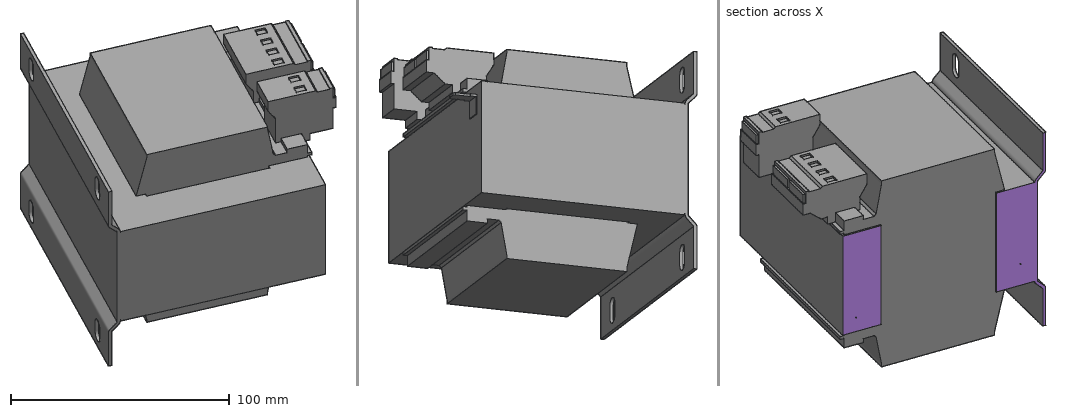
import cadquery as cq
import math


core_width = 120.0
core_height = 53.4
core_front = 6.0
core_back = 105.5
window_half_width = 40.2
window_front = 25.7
window_back = 85.5

coil_half_width = 38.6
coil_top = 50.0
coil_edge_height = 1.7
coil_top_front = 26.3
coil_top_back = 85.0
coil_foot_front = 21.1
coil_foot_back = 87.8
shelf_height = 32.0
shelf_corner = 1.1
rail_front = 94.5
rail_back = 104.4
rail_top = 34.1
lip_back = 106.5
lip_bottom = 27.4
lip_top = 29.0

plate_thickness = 1.7
plate_half_height = 51.9
plate_offset = core_front - plate_thickness
flange_bend_z = 31.0
strip_angle = 45
flange_bend_radius = 2.1
web_bend_radius = 3.6
slot_width = 6.1
slot_length = 12.1
slot_x = 45.0
slot_z = 42.3

terminal_width = 15.2
terminal_pair_x = (-22.7, -7.5)
terminal_single_x = 22.7
terminal_top = 50.2
single_raise = 7.4
terminal_front = 88.2
terminal_back = 121.3
terminal_body_back = 119.8
terminal_foot_front = 91.8
terminal_foot_back = 108.6
terminal_foot_bottom = 29.1
terminal_bottom = 32.9
front_slope_start_drop = 5.7
front_slope_end_drop = 11.3
ledge_front = 111.2
ledge_drop = 1.0
ridge_front = 118.1
ridge_drop = 0.5
lip_start_drop = 6.7
lip_end_drop = 12.6
rear_slope_top_y = 117.5
rear_slope_bottom_y = 112.1
latch_back = 120.9
latch_start_drop = 2.1
latch_inset = 0.7
pocket_width = 3.6
pocket_length = 4.9
pocket_depth = 1.0
pocket_y = 105.2
pocket_offset = 3.8

tab_x = -49.9
tab_width = 6.5
tab_base_width = 8.1
tab_base_back = 108.7
tab_back = 116.6
tab_top = 22.0
tab_thickness = 1.1
tab_corner = 1.0
tab_leg_bottom = 12.5
tab_leg_thickness = 0.5


def box(x_min, x_max, y_min, y_max, z_min, z_max):
    size = (x_max - x_min, y_max - y_min, z_max - z_min)
    return cq.Workplane("XY").box(*size, centered=False).translate((x_min, y_min, z_min))


def extrude_along_x(yz_points, width, x_center=0.0):
    profile = cq.Workplane("YZ", origin=(x_center, 0, 0)).polyline(yz_points).close()
    return profile.extrude(width / 2, both=True)


def make_core():
    half_width = core_width / 2
    half_height = core_height / 2
    core = box(-half_width, half_width, core_front, core_back, -half_height, half_height)
    for x_min, x_max in (
        (-window_half_width, -coil_half_width),
        (coil_half_width, window_half_width),
    ):
        gap = box(x_min, x_max, window_front, window_back, -half_height, half_height)
        core = core.cut(gap)
    return core


def make_coil_half():
    core_top = core_height / 2
    edge_bottom = coil_top - coil_edge_height
    profile = [
        (coil_foot_front, core_top),
        (coil_top_front, edge_bottom),
        (coil_top_front, coil_top),
        (coil_top_back, coil_top),
        (coil_top_back, edge_bottom),
        (coil_foot_back, shelf_height + shelf_corner),
        (coil_foot_back + shelf_corner, shelf_height),
        (rail_front, shelf_height),
        (rail_front, rail_top),
        (rail_back, rail_top),
        (rail_back, lip_top),
        (lip_back, lip_top),
        (lip_back, lip_bottom),
        (rail_back, lip_bottom),
        (rail_back, core_top),
    ]
    return extrude_along_x(profile, 2 * coil_half_width)


def make_plate():
    web_bend_z = flange_bend_z - plate_offset / math.tan(math.radians(strip_angle))
    back_shift = plate_thickness * math.tan(math.radians(strip_angle / 2))
    front_upper = [
        (plate_offset, web_bend_z),
        (0, flange_bend_z),
        (0, plate_half_height),
    ]
    back_upper = [
        (plate_thickness, plate_half_height),
        (plate_thickness, flange_bend_z + back_shift),
        (core_front, web_bend_z + back_shift),
    ]
    upper = front_upper + back_upper
    lower = [(y, -z) for y, z in reversed(upper)]
    plate = extrude_along_x(upper + lower, core_width)

    for side in (-1, 1):
        for y, z, radius in (
            (0, flange_bend_z, flange_bend_radius),
            (core_front, web_bend_z + back_shift, web_bend_radius),
        ):
            outer_bend = cq.selectors.NearestToPointSelector((0, y, side * z))
            plate = plate.edges(outer_bend).fillet(radius)

    slots = (
        cq.Workplane("XZ")
        .rarray(2 * slot_x, 2 * slot_z, 2, 2)
        .slot2D(slot_length, slot_width, 90)
        .extrude(-plate_thickness)
    )
    return plate.cut(slots)


def terminal_head(top):
    return [
        (terminal_foot_front, top - front_slope_end_drop),
        (terminal_front, top - front_slope_start_drop),
        (terminal_front, top),
        (ledge_front, top),
        (ledge_front + ledge_drop, top - ledge_drop),
        (ridge_front, top - ledge_drop),
        (ridge_front, top - ridge_drop),
        (terminal_body_back, top - ridge_drop),
        (terminal_body_back, top - lip_start_drop),
        (terminal_back, top - lip_start_drop),
    ]


def make_terminal(x_center, top, lower_back):
    foot = [
        (terminal_foot_back, terminal_bottom),
        (terminal_foot_back, terminal_foot_bottom),
        (terminal_foot_front, terminal_foot_bottom),
    ]
    profile = terminal_head(top) + lower_back + foot
    terminal = extrude_along_x(profile, terminal_width, x_center)
    latch_half_width = terminal_width / 2 - latch_inset
    latch = box(
        x_center - latch_half_width,
        x_center + latch_half_width,
        terminal_body_back,
        latch_back,
        top - lip_start_drop,
        top - latch_start_drop,
    )
    pockets = (
        cq.Workplane("XY", origin=(x_center, pocket_y, top))
        .rarray(2 * pocket_offset, 1.2, 2, 1)
        .rect(pocket_width, pocket_length)
        .extrude(-pocket_depth)
    )
    return terminal.union(latch).cut(pockets)


def make_terminals():
    lip_end = terminal_top - lip_end_drop
    sloped_back = [
        (terminal_back, lip_end),
        (rear_slope_top_y, lip_end),
        (rear_slope_bottom_y, terminal_bottom),
    ]
    single_top = terminal_top + single_raise
    single_lip_end = single_top - lip_end_drop
    straight_back = [
        (terminal_back, single_lip_end),
        (terminal_body_back, single_lip_end),
        (terminal_body_back, terminal_bottom),
    ]
    terminals = make_terminal(terminal_single_x, single_top, straight_back)
    for x_center in terminal_pair_x:
        terminals = terminals.union(make_terminal(x_center, terminal_top, sloped_back))
    return terminals


def make_earth_tab():
    tab_bottom = tab_top - tab_thickness
    half_base = tab_base_width / 2
    base_left = tab_x - half_base
    base_right = tab_x + half_base
    base = box(base_left, base_right, core_back, tab_base_back, tab_bottom, tab_top)
    leg_back = core_back + tab_leg_thickness
    leg = box(base_left, base_right, core_back, leg_back, tab_leg_bottom, tab_top)
    half_tab = tab_width / 2
    blade = box(tab_x - half_tab, tab_x + half_tab, core_back, tab_back, tab_bottom, tab_top)
    blade = blade.edges("|Z and >Y").chamfer(tab_corner)
    return base.union(leg).union(blade)


coil_half = make_coil_half()
result = (
    make_core()
    .union(coil_half)
    .union(coil_half.mirror("XY"))
    .union(make_plate())
    .union(make_terminals())
    .union(make_earth_tab())
)